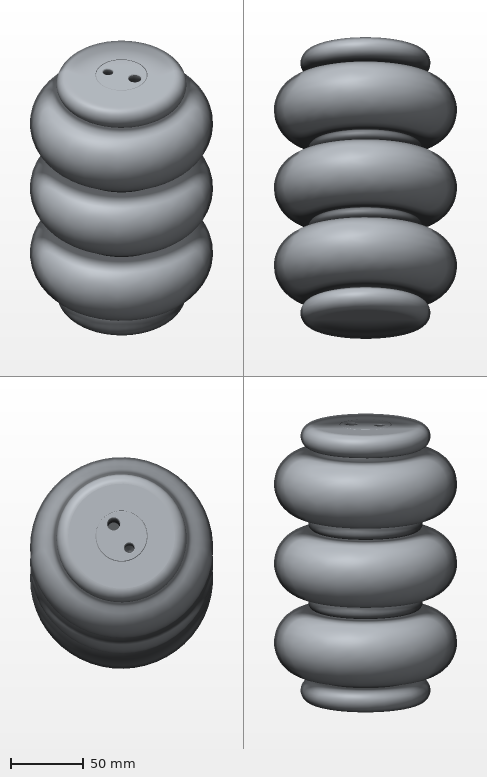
import cadquery as cq

total_height = 196.0
bellow_diameter = 127.0
bellow_height = 45.9
bellow_pitch = 56.0
bellow_count = 3

plate_diameter = 90.2
plate_height = 16.0

ring_diameter = 79.2
ring_height = 8.6

groove_center_radius = 37.0

plug_diameter = 36.0
port_offset = 10.0
small_port_diameter = 6.9
small_port_depth = 7.8
drill_tip_depth = 2.0
large_port_diameter = 8.6
plug_chamfer = 0.49

groove_radius = (bellow_pitch - bellow_height) / 2
ring_round = ring_height / 2
ring_center_radius = ring_diameter / 2 - ring_round
stack_center = (bellow_count - 1) / 2
plate_inner_z = total_height / 2 - plate_height


def make_disc(diameter, height, center_z):
    """Solid disc whose rim is a full half round."""
    rim_round = height / 2
    flat_radius = diameter / 2 - rim_round
    return (
        cq.Workplane("XZ")
        .moveTo(0, -rim_round)
        .lineTo(flat_radius, -rim_round)
        .threePointArc((diameter / 2, 0), (flat_radius, rim_round))
        .lineTo(0, rim_round)
        .close()
        .revolve(360, (0, 0, 0), (0, 1, 0))
        .translate((0, 0, center_z))
    )


def make_groove_cutter(center_z):
    """Round groove that shapes the necks above and below it."""
    return (
        cq.Workplane("XZ")
        .center(groove_center_radius, center_z)
        .circle(groove_radius)
        .revolve(360, (-groove_center_radius, 0, 0), (-groove_center_radius, 1, 0))
    )


def make_bellow(center_z):
    """Half-round bellow with flared necks, recessed where a girdle ring beds in."""
    bellow = make_disc(bellow_diameter, bellow_height, center_z)
    neck_bottom = max(center_z - bellow_pitch / 2, -plate_inner_z)
    neck_top = min(center_z + bellow_pitch / 2, plate_inner_z)
    neck = (
        cq.Workplane("XY", origin=(0, 0, neck_bottom))
        .circle(groove_center_radius)
        .extrude(neck_top - neck_bottom)
    )
    bellow = bellow.union(neck)
    for side in (-1, 1):
        groove_z = center_z + side * bellow_pitch / 2
        bellow = bellow.cut(make_groove_cutter(groove_z))
        if abs(groove_z) < plate_inner_z:
            bellow = bellow.cut(make_girdle_ring(groove_z))
    return bellow


def make_girdle_ring(center_z):
    """Ring of round section, clear of the bellows above and below it."""
    return cq.Workplane(cq.Solid.makeTorus(ring_center_radius, ring_round)).translate((0, 0, center_z))


def make_plate(side):
    return make_disc(plate_diameter, plate_height, side * (total_height - plate_height) / 2)


def make_plug_blank():
    return (
        cq.Workplane("XY", origin=(0, 0, plate_inner_z))
        .circle(plug_diameter / 2)
        .extrude(plate_height)
    )


def make_port_plug():
    """Plug with a drilled blind port, a through port and chamfered top edges."""
    top_z = total_height / 2
    small_radius = small_port_diameter / 2
    blind_port = (
        cq.Workplane("XZ")
        .polyline([
            (0, top_z),
            (small_radius, top_z),
            (small_radius, top_z - small_port_depth),
            (0, top_z - small_port_depth - drill_tip_depth),
        ])
        .close()
        .revolve(360, (0, 0, 0), (0, 1, 0))
        .translate((-port_offset, 0, 0))
    )
    through_port = (
        cq.Workplane("XY", origin=(port_offset, 0, plate_inner_z))
        .circle(large_port_diameter / 2)
        .extrude(plate_height)
    )
    plug = make_plug_blank().cut(blind_port).cut(through_port)
    return plug.faces(">Z").edges().chamfer(plug_chamfer)


bellows = [make_bellow((i - stack_center) * bellow_pitch) for i in range(bellow_count)]
girdle_rings = [
    make_girdle_ring((i + 0.5 - stack_center) * bellow_pitch) for i in range(bellow_count - 1)
]
bottom_plate = make_plate(-1)
top_plate = make_plate(1).cut(make_plug_blank())
port_plug = make_port_plug()

result = cq.Compound.makeCompound([
    *[bellow.val() for bellow in bellows],
    *[ring.val() for ring in girdle_rings],
    bottom_plate.val(),
    top_plate.val(),
    port_plug.val(),
])